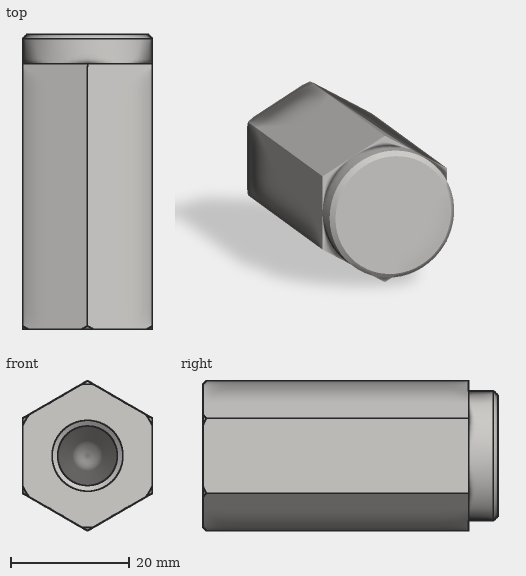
import cadquery as cq
import math

total_length = 50.0
across_flats = 22.0
across_corners = across_flats / math.cos(math.pi / 6)
collar_length = 5.0
collar_chamfer = 0.8
hex_length = total_length - collar_length

corner_cut_depth = 0.6
corner_cut_length = 0.6

hole_diameter = 10.1
hole_mouth_diameter = 12.0
hole_depth = 20.0
drill_point_angle = 118.0


def make_hexagon():
    """Hexagonal prism with flats facing +X and -X, starting at Y = 0."""
    prism = cq.Workplane("XZ").polygon(6, across_corners).extrude(-hex_length)
    return prism.rotate((0, 0, 0), (0, 1, 0), 30)


def make_collar():
    """Round collar with a chamfered outer end."""
    collar = cq.Workplane("XZ", origin=(0, hex_length, 0)).circle(across_flats / 2).extrude(-collar_length)
    return collar.faces(">Y").chamfer(collar_chamfer)


def make_corner_cuts():
    """Ring with a conical inner side that trims the hexagon corners."""
    corner_radius = across_corners / 2
    return (
        cq.Workplane("XY")
        .moveTo(corner_radius - corner_cut_depth, 0)
        .lineTo(corner_radius, corner_cut_length)
        .lineTo(corner_radius, 0)
        .close()
        .revolve(360, (0, 0, 0), (0, 1, 0))
    )


def make_hole():
    """Countersunk blind hole as a solid of revolution about Y."""
    radius = hole_diameter / 2
    mouth_radius = hole_mouth_diameter / 2
    point_length = radius / math.tan(math.radians(drill_point_angle / 2))
    return (
        cq.Workplane("XY")
        .moveTo(0, 0)
        .lineTo(mouth_radius, 0)
        .lineTo(radius, mouth_radius - radius)
        .lineTo(radius, hole_depth)
        .lineTo(0, hole_depth + point_length)
        .close()
        .revolve(360, (0, 0, 0), (0, 1, 0))
    )


result = make_hexagon().union(make_collar()).cut(make_corner_cuts()).cut(make_hole())